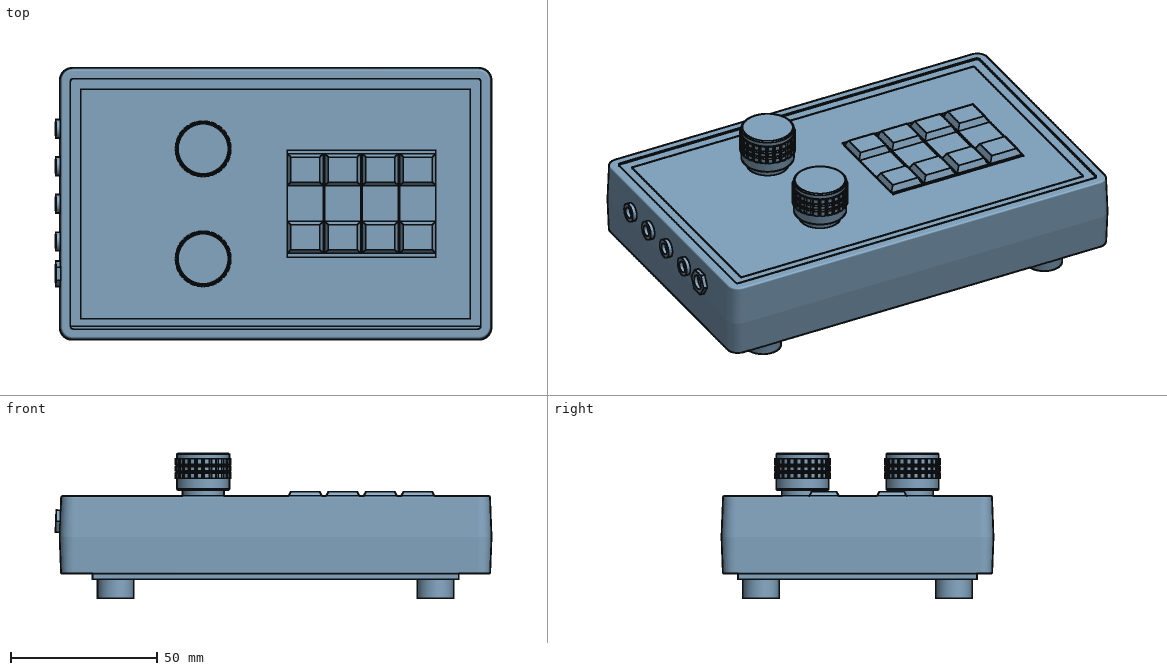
import cadquery as cq
import math

OVERALL_LENGTH = 149.0
CASE_WIDTH = 93.0
CASE_CORNER_RADIUS = 4.5
UPPER_HEIGHT = 14.0
LOWER_HEIGHT = 12.5
DRAFT_ANGLE = 2.2
EDGE_FILLET = 0.6

RECESS_INSET = 3.7
RECESS_DEPTH = 0.7
RECESS_CORNER_RADIUS = 1.0
PANEL_THICKNESS = 0.1
PANEL_GAP = 1.0
LABEL_INSET = 7.3
LABEL_THICKNESS = 0.1

KEYPAD_X = 29.3
KEYS_Y = 0.1
KEYPAD_WIDTH = 36.5
KEYPAD_DEPTH = 0.9
KEY_COLUMNS = 4
KEY_PITCH = 12.8
KEY_LENGTH = 12.2
MIDDLE_KEY_WIDTH = 12.2
OUTER_KEY_WIDTH = 10.9
KEY_BEVEL = 1.2
KEY_RISE = 1.5
KEY_BASE_DROP = 0.3

SOCKET_Z = 5.4
SOCKET_PITCH = 12.8
SOCKET_DIAMETER = 6.4
SOCKET_BORE = 3.9
SOCKET_LENGTH = 1.5
SOCKET_ROOT = 0.7
SOCKET_COLUMNS = (-1, 0, 1, 2)
HEX_SOCKET_Y = -23.8
HEX_ACROSS_FLATS = 7.6
HEX_BORE = 4.9

BASE_LENGTH = 125.1
BASE_WIDTH = 81.6
BASE_THICKNESS = 2.0
FOOT_DIAMETER = 12.5
FOOT_HEIGHT = 6.5
FOOT_SPACING_X = 109.2
FOOT_SPACING_Y = 65.8

KNOB_X = -24.7
KNOB_SPACING = 37.5
KNOB_TOP_RISE = 14.6
KNOB_NECK_DIAMETER = 14.3
KNOB_NECK_HEIGHT = 2.0
KNOB_DIAMETER = 18.0
KNOB_CHAMFER = 0.5
KNURL_DIAMETER = 18.9
KNURL_BOTTOM = 6.0
KNURL_ROWS = 3
KNURL_ROW_PITCH = 2.2
KNURL_COLUMNS = 24
KNURL_GROOVE_WIDTH = 0.9

DRAFT = math.radians(DRAFT_ANGLE)
HEX_TIP = SOCKET_LENGTH * math.cos(DRAFT) + HEX_ACROSS_FLATS / 2 * math.sin(DRAFT)
SOCKET_REACH = HEX_TIP - SOCKET_Z * math.tan(DRAFT)
CASE_LENGTH = OVERALL_LENGTH - SOCKET_REACH
PANEL_TOP = UPPER_HEIGHT - RECESS_DEPTH + PANEL_THICKNESS
LABEL_TOP = PANEL_TOP + LABEL_THICKNESS
KEYPAD_LENGTH = (KEY_COLUMNS - 1) * KEY_PITCH + KEY_LENGTH
KEYPAD_FLOOR = LABEL_TOP - KEYPAD_DEPTH
KEY_BASE = LABEL_TOP - KEY_BASE_DROP
KEY_TOP = UPPER_HEIGHT + KEY_RISE
KNURL_HEIGHT = KNURL_ROWS * KNURL_ROW_PITCH
KNURL_RADIUS = KNURL_DIAMETER / 2
KNURL_ROOT_RADIUS = KNOB_DIAMETER / 2
OUTER_ROW_Y = (MIDDLE_KEY_WIDTH + OUTER_KEY_WIDTH) / 2


def block(length, width, bottom, top, x=0.0, y=0.0):
    """A box centred on (x, y) between two heights."""
    return cq.Workplane("XY", origin=(x, y, bottom)).rect(length, width).extrude(top - bottom)


def drafted_half(height):
    """Half of the case, rising from the parting plane and narrowing with the draft."""
    outline = cq.Sketch().rect(CASE_LENGTH, CASE_WIDTH).vertices().fillet(CASE_CORNER_RADIUS)
    half = cq.Workplane("XY").placeSketch(outline).extrude(height, taper=DRAFT_ANGLE)
    return half.faces(">Z").edges().fillet(EDGE_FILLET)


def make_case_shell():
    upper = drafted_half(UPPER_HEIGHT)
    lower = drafted_half(LOWER_HEIGHT).mirror("XY")
    return upper.union(lower)


def add_top_panel(body):
    """Sink the top face and lay in a panel that stops short of the -Y wall, with a thin label on it."""
    length = CASE_LENGTH - 2 * RECESS_INSET
    width = CASE_WIDTH - 2 * RECESS_INSET
    recess = block(length, width, UPPER_HEIGHT - RECESS_DEPTH, UPPER_HEIGHT)
    recess = recess.edges("|Z").fillet(RECESS_CORNER_RADIUS)
    gap_cover = block(length, width, UPPER_HEIGHT - RECESS_DEPTH, PANEL_TOP, y=PANEL_GAP)
    panel = recess.intersect(gap_cover)
    label = block(
        CASE_LENGTH - 2 * LABEL_INSET, CASE_WIDTH - 2 * LABEL_INSET, PANEL_TOP, LABEL_TOP
    )
    return body.cut(recess).union(panel).union(label)


def raised_key(x, y):
    """A key with a straight skirt and four bevelled sides up to a smaller top."""
    skirt = block(KEY_LENGTH, OUTER_KEY_WIDTH, KEYPAD_FLOOR, KEY_BASE, x, y)
    cap = (
        cq.Workplane("XY", origin=(x, y, KEY_BASE))
        .rect(KEY_LENGTH, OUTER_KEY_WIDTH)
        .workplane(offset=KEY_TOP - KEY_BASE)
        .rect(KEY_LENGTH - 2 * KEY_BEVEL, OUTER_KEY_WIDTH - 2 * KEY_BEVEL)
        .loft(ruled=True)
    )
    return skirt.union(cap)


def add_keypad(body):
    body = body.cut(block(KEYPAD_LENGTH, KEYPAD_WIDTH, KEYPAD_FLOOR, LABEL_TOP, KEYPAD_X))
    for column in range(KEY_COLUMNS):
        x = KEYPAD_X + (column - (KEY_COLUMNS - 1) / 2) * KEY_PITCH
        body = body.union(block(KEY_LENGTH, MIDDLE_KEY_WIDTH, KEYPAD_FLOOR, KEY_BASE, x, KEYS_Y))
        for side in (-1, 1):
            body = body.union(raised_key(x, KEYS_Y + side * OUTER_ROW_Y))
    return body


def socket_plane(y):
    """A plane on the drafted -X wall at socket height, facing outward."""
    wall_x = -CASE_LENGTH / 2 + SOCKET_Z * math.tan(DRAFT)
    outward = (-math.cos(DRAFT), 0, math.sin(DRAFT))
    return cq.Plane(origin=(wall_x, y, SOCKET_Z), xDir=(0, -1, 0), normal=outward)


def socket_body(outline, bore):
    """Extrude a socket outline out of the wall, rooted inside it, and bore it down to the wall."""
    socket = outline.extrude(SOCKET_LENGTH + SOCKET_ROOT)
    return socket.faces("<X").workplane(centerOption="CenterOfMass").hole(bore, SOCKET_LENGTH)


def add_sockets(body):
    for column in SOCKET_COLUMNS:
        plane = cq.Workplane(socket_plane(column * SOCKET_PITCH)).workplane(offset=-SOCKET_ROOT)
        body = body.union(socket_body(plane.circle(SOCKET_DIAMETER / 2), SOCKET_BORE))
    plane = cq.Workplane(socket_plane(HEX_SOCKET_Y)).workplane(offset=-SOCKET_ROOT)
    across_corners = HEX_ACROSS_FLATS / math.cos(math.pi / 6)
    return body.union(socket_body(plane.polygon(6, across_corners), HEX_BORE))


def add_base(body):
    """Plate under the case with a round foot near each corner."""
    plate_bottom = -LOWER_HEIGHT - BASE_THICKNESS
    plate = block(BASE_LENGTH, BASE_WIDTH, plate_bottom, -LOWER_HEIGHT)
    feet = (
        cq.Workplane("XY", origin=(0, 0, plate_bottom))
        .rect(FOOT_SPACING_X, FOOT_SPACING_Y, forConstruction=True)
        .vertices()
        .circle(FOOT_DIAMETER / 2)
        .extrude(-FOOT_HEIGHT)
    )
    return body.union(plate).union(feet)


def make_housing():
    housing = make_case_shell()
    housing = add_top_panel(housing)
    housing = add_keypad(housing)
    housing = add_sockets(housing)
    return add_base(housing)


def make_knurled_band():
    """Ring standing on Z = 0, cut by V grooves around it and along it into rows of square knurls."""
    half_groove = KNURL_GROOVE_WIDTH / 2
    band = cq.Workplane("XY").circle(KNURL_RADIUS).extrude(KNURL_HEIGHT)
    for row in range(1, KNURL_ROWS):
        z = row * KNURL_ROW_PITCH
        ring_groove = (
            cq.Workplane("XZ")
            .moveTo(KNURL_RADIUS, z - half_groove)
            .lineTo(KNURL_ROOT_RADIUS, z)
            .lineTo(KNURL_RADIUS, z + half_groove)
            .close()
            .revolve(360, (0, 0, 0), (0, 1, 0))
        )
        band = band.cut(ring_groove)
    mouth_radius = 2 * KNURL_RADIUS - KNURL_ROOT_RADIUS
    straight_groove = (
        cq.Workplane("XY")
        .moveTo(mouth_radius, -KNURL_GROOVE_WIDTH)
        .lineTo(KNURL_ROOT_RADIUS, 0)
        .lineTo(mouth_radius, KNURL_GROOVE_WIDTH)
        .close()
        .extrude(KNURL_HEIGHT)
    )
    grooves = [
        straight_groove.rotate((0, 0, 0), (0, 0, 1), column * 360 / KNURL_COLUMNS).val()
        for column in range(KNURL_COLUMNS)
    ]
    return band.cut(cq.Workplane(cq.Compound.makeCompound(grooves)))


def make_knob(y):
    """Knob on a narrower neck, with a knurled band standing out of its side."""
    neck_top = UPPER_HEIGHT + KNOB_NECK_HEIGHT
    knob_top = UPPER_HEIGHT + KNOB_TOP_RISE
    neck = cq.Workplane("XY", origin=(0, 0, LABEL_TOP)).circle(KNOB_NECK_DIAMETER / 2)
    neck = neck.extrude(neck_top - LABEL_TOP)
    grip = cq.Workplane("XY", origin=(0, 0, neck_top)).circle(KNOB_DIAMETER / 2)
    grip = grip.extrude(knob_top - neck_top).faces("<Z or >Z").edges().chamfer(KNOB_CHAMFER)
    band = make_knurled_band().translate((0, 0, UPPER_HEIGHT + KNURL_BOTTOM))
    return grip.union(neck).union(band).translate((KNOB_X, y, 0))


housing = make_housing()
knobs = [make_knob(side * KNOB_SPACING / 2) for side in (-1, 1)]

result = cq.Compound.makeCompound([housing.val(), *[knob.val() for knob in knobs]])